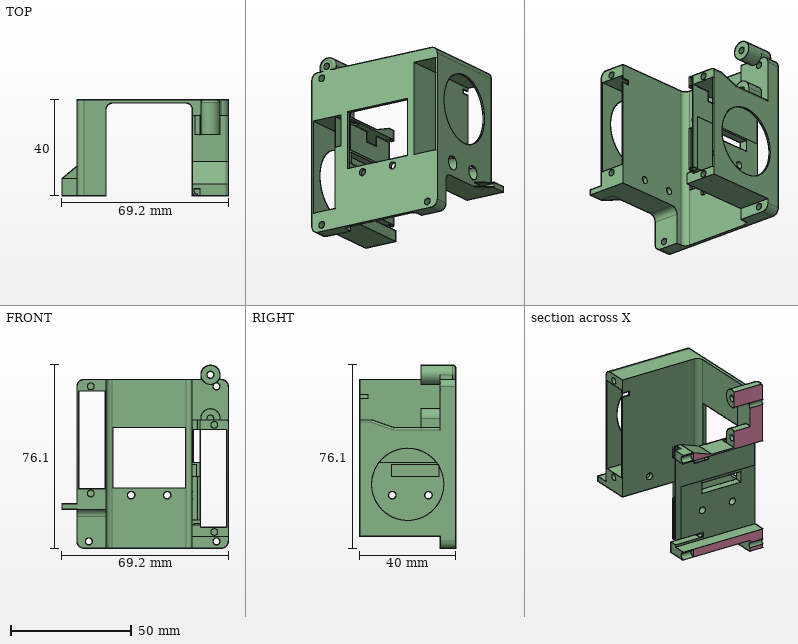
import cadquery as cq

WIDTH = 63.0
DEPTH = 40.0
HEIGHT = 70.2
PLATE_THICKNESS = 1.5
FLANGE_THICKNESS = 6.5
FLANGE_FRONT = DEPTH - FLANGE_THICKNESS
CORNER_RADIUS = 3.0

CLEARANCE = 1.0

BAY_LEFT = 12.2
BAY_RIGHT = 47.9
BAY_CORNER_RADIUS = 2.5
BAY_CENTER = (BAY_LEFT + BAY_RIGHT) / 2

OUTER_WALL = 0.8
CAVITY_HEIGHT = 40.5
LEFT_BOX_BOTTOM = 16.2
LEFT_CAVITY_BOTTOM = 24.8
LEFT_INNER_WALL = 0.6
RIGHT_BOX_BOTTOM = 5.0
RIGHT_BOX_TOP = 53.4
RIGHT_CAVITY_BOTTOM = 8.8
RIGHT_CAVITY_TOP = RIGHT_CAVITY_BOTTOM + CAVITY_HEIGHT
RIGHT_CAVITY_LEFT = 51.4
REAR_ROOF_TOP = 50.2
RAMP_FRONT = 5.0
RAMP_REAR = 14.2
ROOF_EDGE_RADIUS = 1.0
FAN_DIAMETER = 30.0
FAN_Y = DEPTH / 2
LEFT_FAN_Z = 48.2
RIGHT_FAN_Z = 26.6

WINDOW_WIDTH = 30.0
WINDOW_BOTTOM = 25.1
WINDOW_HEIGHT = 25.0
SCREW_DIAMETER = 3.0
SCREW_SPACING = 15.0
SCREW_Z = 22.1
SIDE_SCREW_Y = 21.1
HEAD_DIAMETER = 6.0
HEAD_SEAT_THICKNESS = 2.0
HEAD_DEPTH = BAY_LEFT - HEAD_SEAT_THICKNESS
PILOT_DIAMETER = 2.8
PILOT_DEPTH = 5.0
MOUNT_X = 58.0
MOUNT_LEFT_X = 5.0
MOUNT_Z = 2.9
LEFT_PILOT_X = 5.8
RIGHT_PILOT_X = 57.1
LEFT_PILOT_HEIGHTS = (22.8, 67.3)
RIGHT_PILOT_HEIGHTS = (6.8, 51.3)

BOSS_X = 55.5
BOSS_RADIUS = 4.0
BOSS_FRONT = 25.5
BOSS_ROUND = 1.3
UPPER_BOSS_Z = 72.1
LOWER_BOSS_Z = 54.0
ROOF_SLOT_LEFT = 49.0

ARM_REACH = 6.2
ARM_BOTTOM = LEFT_BOX_BOTTOM
ARM_HEIGHT = 2.4
ARM_TIP_DEPTH = 7.2
ARM_ROOT_DEPTH = 12.4
RIB_THICKNESS = 0.4
RIB_INSET = 0.2

POCKET_RIGHT = 51.1
TONGUE_THICKNESS = 0.8
SLOT_LENGTH = 14.0
TONGUE_RADIUS = 2.0
TONGUE_TIP_X = 50.2
TONGUE_BOTTOM = 11.8
TONGUE_TOP = 29.9
TONGUE_SLOT_BOTTOM = 9.8
SLOT_WEDGE_LENGTH = 1.5
SLOT_WEDGE_HEIGHT = 0.6
TONGUE_POCKET_DEPTH = 2.9
CHANNEL_TOP = 34.8
SHELF_TOP = 35.7
SHELF_FRONT = 3.0
STOP_LEFT = 49.7
STOP_REAR = 13.3
CHANNEL_REAR = 33.0
PLATE_SLOT_LEFT = 48.4
VENT_BOTTOM = 44.8
VENT_FRONT = 9.5
VENT_REAR = 16.5

NOTCH_BOTTOM = 62.2
NOTCH_HEIGHT = 1.8
NOTCH_DEPTH = 3.5


def block(x0, x1, y0, y1, z0, z1):
    """Box between two limits on each axis."""
    return cq.Workplane("XY").box(x1 - x0, y1 - y0, z1 - z0, centered=False).translate((x0, y0, z0))


def rod_y(x, z, y0, y1, diameter):
    """Cylinder along y from y0 to y1."""
    return cq.Workplane("XZ", origin=(x, y0, z)).circle(diameter / 2).extrude(y0 - y1)


def rod_x(y, z, x0, x1, diameter):
    """Cylinder along x from x0 to x1."""
    return cq.Workplane("YZ", origin=(x0, y, z)).circle(diameter / 2).extrude(x1 - x0)


def frame():
    """Rounded outline with the bay and the space below and beside the boxes removed."""
    body = block(0, WIDTH, 0, DEPTH, 0, HEIGHT).edges("|Y").fillet(CORNER_RADIUS)
    bay = block(BAY_LEFT, BAY_RIGHT, -DEPTH, DEPTH - PLATE_THICKNESS, -CLEARANCE, HEIGHT + CLEARANCE)
    body = body.cut(bay.edges("|Z and >Y").fillet(BAY_CORNER_RADIUS))
    below_left = block(-CLEARANCE, BAY_LEFT, -DEPTH, FLANGE_FRONT, -DEPTH, LEFT_BOX_BOTTOM)
    body = body.cut(below_left.edges("|X and >Y and >Z").fillet(CORNER_RADIUS))
    return body.cut(block(BAY_RIGHT, WIDTH, 0, FLANGE_FRONT, 0, HEIGHT))


def right_box():
    """Solid right box with a stepped roof and a rounded outer roof edge."""
    profile = [
        (0, RIGHT_BOX_BOTTOM),
        (0, RIGHT_BOX_TOP),
        (RAMP_FRONT, RIGHT_BOX_TOP),
        (RAMP_REAR, REAR_ROOF_TOP),
        (FLANGE_FRONT, REAR_ROOF_TOP),
        (FLANGE_FRONT, RIGHT_BOX_BOTTOM),
    ]
    body = cq.Workplane("YZ", origin=(BAY_RIGHT, 0, 0)).polyline(profile).close().extrude(WIDTH - BAY_RIGHT)
    roof_edge = cq.selectors.BoxSelector(
        (WIDTH - ROOF_EDGE_RADIUS, 0, REAR_ROOF_TOP - ROOF_EDGE_RADIUS),
        (WIDTH + ROOF_EDGE_RADIUS, FLANGE_FRONT - ROOF_EDGE_RADIUS, RIGHT_BOX_TOP + ROOF_EDGE_RADIUS),
    )
    outer_edges = body.faces(">X").edges(roof_edge)
    return outer_edges.fillet(ROOF_EDGE_RADIUS)


def arm():
    """Flat arm beside the left box, braced to the box wall by two thin triangular ribs."""
    top = ARM_BOTTOM + ARM_HEIGHT
    body = block(-ARM_REACH, BAY_LEFT, 0, ARM_TIP_DEPTH, ARM_BOTTOM, top)
    outline = [(-ARM_REACH, ARM_TIP_DEPTH), (0, ARM_ROOT_DEPTH), (0, ARM_TIP_DEPTH)]
    for bottom in (ARM_BOTTOM, top - RIB_INSET - RIB_THICKNESS):
        rib = cq.Workplane("XY", origin=(0, 0, bottom)).polyline(outline).close()
        body = body.union(rib.extrude(RIB_THICKNESS))
    return body


def upper_boss():
    """Hinge boss above the plate corner, with a web down to the flange."""
    boss = rod_y(BOSS_X, UPPER_BOSS_Z, BOSS_FRONT, DEPTH, 2 * BOSS_RADIUS)
    boss = boss.faces(">Y").fillet(BOSS_ROUND)
    left = BOSS_X - BOSS_RADIUS
    right = BOSS_X + BOSS_RADIUS
    web_bottom = HEIGHT - CORNER_RADIUS
    web = block(left, right, FLANGE_FRONT, DEPTH - BOSS_ROUND, web_bottom, UPPER_BOSS_Z)
    return boss.union(web)


def lower_boss():
    """Hinge boss standing on the right roof."""
    left = BOSS_X - BOSS_RADIUS
    boss = rod_y(BOSS_X, LOWER_BOSS_Z, BOSS_FRONT, FLANGE_FRONT, 2 * BOSS_RADIUS)
    base = block(left, BOSS_X + BOSS_RADIUS, BOSS_FRONT, FLANGE_FRONT, REAR_ROOF_TOP, LOWER_BOSS_Z)
    above_roof = block(0, WIDTH, 0, DEPTH, REAR_ROOF_TOP, HEIGHT)
    return boss.intersect(above_roof).union(base)


def cut_cavities(body):
    """Box cavities open at both ends, round openings in the outer walls and the inner wall notch."""
    left_cavity_right = BAY_LEFT - LEFT_INNER_WALL
    left_cavity_top = LEFT_CAVITY_BOTTOM + CAVITY_HEIGHT
    right_cavity_right = WIDTH - OUTER_WALL
    body = body.cut(block(OUTER_WALL, left_cavity_right, 0, DEPTH, LEFT_CAVITY_BOTTOM, left_cavity_top))
    body = body.cut(
        block(RIGHT_CAVITY_LEFT, right_cavity_right, 0, DEPTH, RIGHT_CAVITY_BOTTOM, RIGHT_CAVITY_TOP)
    )
    body = body.cut(rod_x(FAN_Y, LEFT_FAN_Z, 0, OUTER_WALL, FAN_DIAMETER))
    body = body.cut(rod_x(FAN_Y, RIGHT_FAN_Z, right_cavity_right, WIDTH, FAN_DIAMETER))
    notch_top = NOTCH_BOTTOM + NOTCH_HEIGHT
    return body.cut(block(left_cavity_right, BAY_LEFT, 0, NOTCH_DEPTH, NOTCH_BOTTOM, notch_top))


def tongue(length, bottom, top):
    """Thin upright spring leaf whose front end curls into the wall."""
    inner_radius = TONGUE_RADIUS - TONGUE_THICKNESS
    curl_x = BAY_RIGHT + TONGUE_RADIUS
    leaf = (
        cq.Workplane("XY", origin=(0, 0, bottom))
        .moveTo(BAY_RIGHT, length)
        .lineTo(BAY_RIGHT, TONGUE_RADIUS)
        .radiusArc((curl_x, 0), -TONGUE_RADIUS)
        .lineTo(TONGUE_TIP_X, 0)
        .lineTo(TONGUE_TIP_X, TONGUE_THICKNESS)
        .lineTo(curl_x, TONGUE_THICKNESS)
        .radiusArc((BAY_RIGHT + TONGUE_THICKNESS, TONGUE_RADIUS), inner_radius)
        .lineTo(BAY_RIGHT + TONGUE_THICKNESS, length)
        .close()
    )
    return leaf.extrude(top - bottom)


def slot_wedge():
    """Small ramp on the floor at the rear end of the slot under the lower tongue."""
    profile = [
        (SLOT_LENGTH - SLOT_WEDGE_LENGTH, TONGUE_SLOT_BOTTOM),
        (SLOT_LENGTH, TONGUE_SLOT_BOTTOM),
        (SLOT_LENGTH, TONGUE_SLOT_BOTTOM + SLOT_WEDGE_HEIGHT),
    ]
    left = BAY_RIGHT + TONGUE_THICKNESS
    return cq.Workplane("YZ", origin=(left, 0, 0)).polyline(profile).close().extrude(POCKET_RIGHT - left)


def cut_spring_catch(body):
    """Recesses around the shelf in the right inner wall, and its two spring tongues."""
    recess = block(BAY_RIGHT, POCKET_RIGHT, 0, FLANGE_FRONT, SHELF_TOP, RIGHT_CAVITY_TOP)
    plate_slot = block(PLATE_SLOT_LEFT, POCKET_RIGHT, 0, DEPTH, SHELF_TOP, RIGHT_CAVITY_TOP)
    shelf_end = block(BAY_RIGHT, POCKET_RIGHT, 0, SHELF_FRONT, TONGUE_TOP, SHELF_TOP)
    channel = block(BAY_RIGHT, STOP_LEFT, 0, CHANNEL_REAR, TONGUE_TOP, CHANNEL_TOP)
    opening = block(BAY_RIGHT, RIGHT_CAVITY_LEFT, STOP_REAR, CHANNEL_REAR, TONGUE_TOP, CHANNEL_TOP)
    vent = block(POCKET_RIGHT, RIGHT_CAVITY_LEFT, VENT_FRONT, VENT_REAR, VENT_BOTTOM, RIGHT_CAVITY_TOP)
    roof_slot = block(ROOF_SLOT_LEFT, POCKET_RIGHT, BOSS_FRONT, FLANGE_FRONT, SHELF_TOP, REAR_ROOF_TOP)
    lower_slot = block(BAY_RIGHT, RIGHT_CAVITY_LEFT, 0, SLOT_LENGTH, TONGUE_SLOT_BOTTOM, TONGUE_BOTTOM)
    lower_pocket = block(BAY_RIGHT, POCKET_RIGHT, 0, TONGUE_POCKET_DEPTH, TONGUE_BOTTOM, TONGUE_TOP)
    upper_pocket = block(BAY_RIGHT, POCKET_RIGHT, 0, TONGUE_POCKET_DEPTH, RIGHT_CAVITY_TOP, RIGHT_BOX_TOP)
    spaces = (
        recess,
        plate_slot,
        shelf_end,
        channel,
        opening,
        vent,
        roof_slot,
        lower_slot,
        lower_pocket,
        upper_pocket,
    )
    for space in spaces:
        body = body.cut(space)
    body = body.union(slot_wedge())
    body = body.union(tongue(TONGUE_POCKET_DEPTH, TONGUE_BOTTOM, TONGUE_TOP))
    return body.union(tongue(TONGUE_POCKET_DEPTH, RIGHT_CAVITY_TOP, RIGHT_BOX_TOP))


def cut_plate_openings(body):
    """Window, two screw holes and three corner mounting holes through the back plate."""
    window_left = BAY_CENTER - WINDOW_WIDTH / 2
    window_top = WINDOW_BOTTOM + WINDOW_HEIGHT
    body = body.cut(block(window_left, window_left + WINDOW_WIDTH, 0, DEPTH, WINDOW_BOTTOM, window_top))
    for side in (-1, 1):
        x = BAY_CENTER + side * SCREW_SPACING / 2
        body = body.cut(rod_y(x, SCREW_Z, DEPTH - PLATE_THICKNESS, DEPTH, SCREW_DIAMETER))
    for x, z in ((MOUNT_LEFT_X, MOUNT_Z), (MOUNT_X, MOUNT_Z), (MOUNT_X, HEIGHT - MOUNT_Z)):
        body = body.cut(rod_y(x, z, FLANGE_FRONT, DEPTH, PILOT_DIAMETER))
    return body


def cut_side_screws(body):
    """Screw holes across both boxes, counterbored from the left."""
    for side in (-1, 1):
        y = SIDE_SCREW_Y + side * SCREW_SPACING / 2
        body = body.cut(rod_x(y, SCREW_Z, 0, WIDTH, SCREW_DIAMETER))
        body = body.cut(rod_x(y, SCREW_Z, 0, HEAD_DEPTH, HEAD_DIAMETER))
    return body


def cut_pilot_holes(body):
    """Blind holes in the box fronts and the lower boss, and a through hole in the upper boss."""
    for x, heights in ((LEFT_PILOT_X, LEFT_PILOT_HEIGHTS), (RIGHT_PILOT_X, RIGHT_PILOT_HEIGHTS)):
        for z in heights:
            body = body.cut(rod_y(x, z, 0, PILOT_DEPTH, PILOT_DIAMETER))
    body = body.cut(rod_y(BOSS_X, UPPER_BOSS_Z, BOSS_FRONT, DEPTH, PILOT_DIAMETER))
    return body.cut(rod_y(BOSS_X, LOWER_BOSS_Z, BOSS_FRONT, FLANGE_FRONT, PILOT_DIAMETER))


part = frame().union(right_box()).union(arm()).union(upper_boss()).union(lower_boss())
part = cut_cavities(part)
part = cut_spring_catch(part)
part = cut_side_screws(part)
part = cut_plate_openings(part)
result = cut_pilot_holes(part)